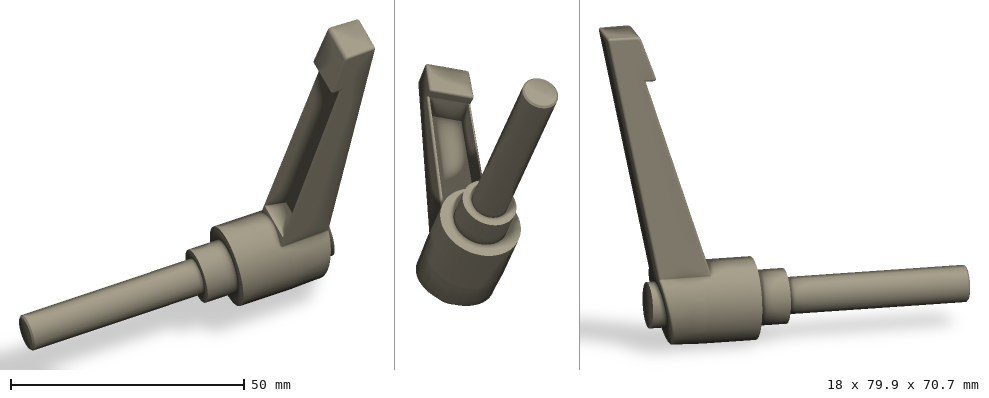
import cadquery as cq
import math


stud_diameter = 8.0
stud_length = 40.0
stud_chamfer = 0.4
collar_diameter = 12.0
collar_length = 7.0
button_diameter = 10.0
button_back_y = 23.1

hub_radius = 9.0
hub_straight_length = 12.0
hub_draft = math.radians(2.0)
hub_back_fillet = 0.4

handle_top_z = 61.69
handle_back_y = 33.01
handle_root_z = 6.0
back_slope = math.tan(math.radians(11.6))
front_slope = math.tan(math.radians(17.9))
grip_slope = math.tan(math.radians(20.0))
grip_top_depth = 7.2
grip_top_y = handle_back_y - grip_top_depth
grip_bottom_z = 51.6
grip_bottom_y = grip_top_y - grip_slope * (handle_top_z - grip_bottom_z)
notch_y = 24.6

handle_front_y = 10.2
handle_front_width = 10.9
handle_draft = math.radians(2.2)
handle_fillet = 0.5
grip_top_fillet = 1.0
handle_root_fillet = 0.25

recess_wall = 0.55
recess_depth = 5.3
recess_lower_z = 9.6


def back_y(z):
    """Y of the inclined back plane shared by handle and hub."""
    return handle_back_y - back_slope * (handle_top_z - z)


def front_y(z):
    """Y of the inclined front face of the handle below the grip."""
    return notch_y - front_slope * (grip_bottom_z - z)


def cylinder(radius, start_y, end_y):
    """Cylinder on the Y axis between two Y positions."""
    sketch = cq.Workplane("XZ", origin=(0, end_y, 0)).circle(radius)
    return sketch.extrude(end_y - start_y)


def drafted_prism(inset):
    """Tall prism whose plan narrows towards +Y, inset from the handle sides."""
    near_half = handle_front_width / 2 - inset
    far_half = near_half - (handle_back_y - handle_front_y) * math.tan(handle_draft)
    plan = [
        (-near_half, handle_front_y),
        (near_half, handle_front_y),
        (far_half, handle_back_y),
        (-far_half, handle_back_y),
    ]
    return cq.Workplane("XY").polyline(plan).close().extrude(handle_top_z)


def extrude_side_profile(points):
    """Extrude a (Y, Z) outline symmetrically over the hub width."""
    return cq.Workplane("YZ").polyline(points).close().extrude(hub_radius, both=True)


def make_handle():
    """Sharp-edged handle: tapering arm with an overhanging grip at its top."""
    side = extrude_side_profile([
        (back_y(handle_root_z), handle_root_z),
        (handle_back_y, handle_top_z),
        (grip_top_y, handle_top_z),
        (grip_bottom_y, grip_bottom_z),
        (notch_y, grip_bottom_z),
        (front_y(handle_root_z), handle_root_z),
    ])
    return side.intersect(drafted_prism(0))


def edges_along_x(solid, y, z):
    """Edges of a solid that run across the part at a given Y and Z."""
    margin = 0.01
    return solid.edges(cq.selectors.BoxSelector(
        (-hub_radius, y - margin, z - margin),
        (hub_radius, y + margin, z + margin),
    ))


def round_handle(handle):
    """Round every edge except the notch corner and the root buried in the hub."""
    rounded_top = edges_along_x(handle, grip_top_y, handle_top_z).fillet(grip_top_fillet)
    kept_sharp = rounded_top.faces("<Z").edges().vals()
    kept_sharp += edges_along_x(rounded_top, notch_y, grip_bottom_z).vals()
    kept_sharp += rounded_top.faces("%CYLINDER").edges("|X").vals()
    rounded_edges = [edge for edge in rounded_top.edges().vals() if edge not in kept_sharp]
    return rounded_top.newObject(rounded_edges).fillet(handle_fillet)


def make_recess():
    """Pocket with its floor parallel to the handle front and its ends square to the handle back."""
    end_drop = recess_depth * back_slope
    upper_inner_z = grip_bottom_z - end_drop
    lower_inner_z = recess_lower_z - end_drop
    side = extrude_side_profile([
        (front_y(recess_lower_z), recess_lower_z),
        (front_y(lower_inner_z) + recess_depth, lower_inner_z),
        (front_y(upper_inner_z) + recess_depth, upper_inner_z),
        (notch_y, grip_bottom_z),
        (front_y(recess_lower_z), grip_bottom_z),
    ])
    return side.intersect(drafted_prism(recess_wall))


def make_hub():
    """Drum with a slightly conical rear, cut off by the inclined back plane."""
    rear_length = handle_back_y - hub_straight_length
    rear_radius = hub_radius - rear_length * math.tan(hub_draft)
    half_outline = [
        (0, 0),
        (hub_radius, 0),
        (hub_radius, hub_straight_length),
        (rear_radius, handle_back_y),
        (0, handle_back_y),
    ]
    drum = cq.Workplane("XY").polyline(half_outline).close().revolve(360, (0, 0, 0), (0, 1, 0))
    in_front_of_back_plane = extrude_side_profile([
        (0, -hub_radius),
        (back_y(-hub_radius), -hub_radius),
        (back_y(hub_radius), hub_radius),
        (0, hub_radius),
    ])
    return drum.intersect(in_front_of_back_plane).faces(">Y").edges().fillet(hub_back_fillet)


def join_handle_to_hub(handle, hub):
    """Unite handle and hub with a small fillet where the handle meets the drum."""
    foot_point = (0, front_y(hub_radius), hub_radius)
    foot_edge = cq.selectors.NearestToPointSelector(foot_point)
    return hub.union(handle).edges(foot_edge).fillet(handle_root_fillet)


def make_stud():
    """Plain shank with a chamfered free end."""
    stud = cylinder(stud_diameter / 2, -collar_length - stud_length, -collar_length)
    return stud.faces("<Y").edges().chamfer(stud_chamfer)


body = join_handle_to_hub(round_handle(make_handle()), make_hub()).cut(make_recess())
collar = cylinder(collar_diameter / 2, -collar_length, 0)
button = cylinder(button_diameter / 2, 0, button_back_y)

result = body.union(collar).union(make_stud()).union(button)